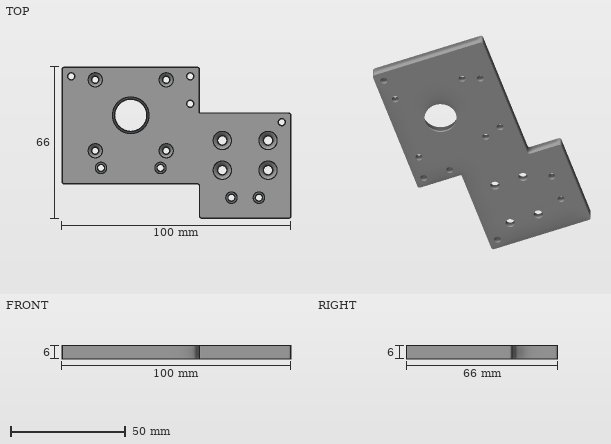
import cadquery as cq

length = 100
width = 66
thickness = 6
motor_length = 60
motor_bottom = 15
mount_top = 46
corner_radius = 1

edge_hole_diameter = 3
edge_inset = 4
edge_hole_pitch = 12

motor_center = (motor_length / 2, 45)
pilot_diameter = 16
pilot_depth = 5
bore_diameter = 14
motor_screw_pitch = 31
motor_screw_diameter = 3
motor_sink_diameter = 6.2

mount_center = ((motor_length + length) / 2, 27.5)
mount_pitch_x = 20
mount_pitch_y = 13
mount_screw_diameter = 4
mount_sink_diameter = 8
sink_angle = 90

cap_hole_diameter = 3
cap_head_diameter = 5
cap_head_depth = 1
motor_pair_pitch = 26
motor_pair_y = 22
mount_pair_pitch = 12
mount_pair_y = 9


def pair(center_x, pitch, y):
    """Two points at the same Y, symmetric about center_x."""
    return [(center_x - pitch / 2, y), (center_x + pitch / 2, y)]


def rectangle_points(center, pitch_x, pitch_y):
    """Four corner points of a rectangle around center."""
    lower = pair(center[0], pitch_x, center[1] - pitch_y / 2)
    upper = pair(center[0], pitch_x, center[1] + pitch_y / 2)
    return lower + upper


def top_points(plate, points):
    """Select points on the top face, in plate coordinates."""
    return plate.faces(">Z").workplane(origin=(0, 0, thickness)).pushPoints(points)


def make_blank():
    """Plate outline with all corners rounded except the upper inner one."""
    outline = [
        (0, motor_bottom),
        (motor_length, motor_bottom),
        (motor_length, 0),
        (length, 0),
        (length, mount_top),
        (motor_length, mount_top),
        (motor_length, width),
        (0, width),
    ]
    blank = cq.Workplane("XY").polyline(outline).close().extrude(thickness)
    sharp_corner = cq.NearestToPointSelector((motor_length, mount_top, thickness / 2))
    rounded_edges = cq.selectors.SubtractSelector(cq.selectors.StringSyntaxSelector("|Z"), sharp_corner)
    return blank.edges(rounded_edges).fillet(corner_radius)


plate = make_blank()

edge_hole_x = motor_length - edge_inset
edge_hole_y = width - edge_inset
edge_holes = [
    (edge_inset, edge_hole_y),
    (edge_hole_x, edge_hole_y),
    (edge_hole_x, edge_hole_y - edge_hole_pitch),
    (length - edge_inset, mount_top - edge_inset),
]
plate = top_points(plate, edge_holes).hole(edge_hole_diameter)

plate = top_points(plate, [motor_center]).cboreHole(bore_diameter, pilot_diameter, pilot_depth)

motor_screws = rectangle_points(motor_center, motor_screw_pitch, motor_screw_pitch)
plate = top_points(plate, motor_screws).cskHole(motor_screw_diameter, motor_sink_diameter, sink_angle)
mount_screws = rectangle_points(mount_center, mount_pitch_x, mount_pitch_y)
plate = top_points(plate, mount_screws).cskHole(mount_screw_diameter, mount_sink_diameter, sink_angle)

cap_screws = pair(motor_center[0], motor_pair_pitch, motor_pair_y)
cap_screws += pair(mount_center[0], mount_pair_pitch, mount_pair_y)
plate = top_points(plate, cap_screws).cboreHole(cap_hole_diameter, cap_head_diameter, cap_head_depth)

result = plate